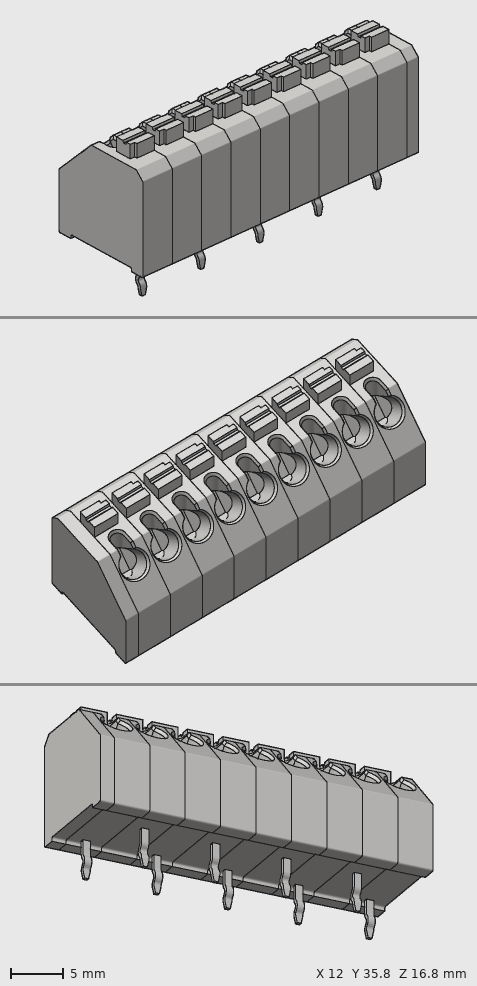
import cadquery as cq
import math

POLE_COUNT = 9
TOTAL_LENGTH = 35.8
END_PLATE_THICKNESS = 1.5
PITCH = (TOTAL_LENGTH - END_PLATE_THICKNESS) / POLE_COUNT

DEPTH = 12.0
HEIGHT = 11.6
WIRE_SLOPE = 4.58
REAR_CHAMFER = 0.95
FRONT_FOOT_LENGTH = 1.7
REAR_FOOT_LENGTH = 1.65
FOOT_HEIGHT = 0.43
EDGE_RADIUS = 0.18

CONTACT_Y = 2.0
HOLE_X = 3.1
HOLE_Z = HEIGHT - WIRE_SLOPE + HOLE_X
HOLE_RADIUS = 1.45
HOLE_DEPTH = 3.6
FUNNEL_LENGTH = 1.07
FUNNEL_FLOOR_RISE = 0.32
SLOT_WIDTH = 1.45
SLOT_END_X = 6.55
LEAD_IN = 0.18
LEAD_IN_DEPTH = 0.35

BUTTON_X = 7.12
BUTTON_DEPTH = 2.3
BUTTON_WIDTH = 2.83
BUTTON_HEIGHT = 1.6
BUTTON_STEP_DEPTH = 0.32
BUTTON_STEP_WIDTH = 0.57
GROOVE_X = 8.05
GROOVE_WIDTH = 0.5
GROOVE_DRAFT = 0.09
GROOVE_DEPTH = 0.25

FRONT_PIN_X = 4.72
REAR_PIN_X = 9.7
PIN_THICKNESS = 0.4
PIN_WIDTH = 0.8
PIN_LENGTH = 3.58
PIN_TIP_WIDTH = 0.43
PIN_TIP_LENGTH = 0.8
KINK_Z = -1.85
KINK_RADIUS = 0.6
KINK_ANGLE = math.radians(45)


def housing_blank(width):
    """Housing cross-section with rounded edges, extruded from Y = 0 to Y = width."""
    outline = [
        (0, 0),
        (DEPTH, 0),
        (DEPTH, HEIGHT - REAR_CHAMFER),
        (DEPTH - REAR_CHAMFER, HEIGHT),
        (WIRE_SLOPE, HEIGHT),
        (0, HEIGHT - WIRE_SLOPE),
    ]
    block = cq.Workplane("XZ").polyline(outline).close().extrude(-width)
    block = block.edges("|Y").fillet(EDGE_RADIUS)

    recess_length = DEPTH - FRONT_FOOT_LENGTH - REAR_FOOT_LENGTH
    recess = cq.Workplane("XY").box(recess_length, width, FOOT_HEIGHT, centered=False)
    recess = recess.edges("|Y and >Z").fillet(EDGE_RADIUS)
    return block.cut(recess.translate((FRONT_FOOT_LENGTH, 0, 0)))


def on_slope():
    """Workplane at the hole mouth: X across the pole, Y up the slope, Z out of the hole."""
    plane = cq.Plane(origin=(HOLE_X, CONTACT_Y, HOLE_Z), xDir=(0, -1, 0), normal=(-1, 0, 1))
    return cq.Workplane(plane)


def funnel_wall(angle, rise):
    """Flat wedge that narrows the deep end of the hole, turned about the hole axis."""
    base = HOLE_RADIUS
    wedge = (
        cq.Workplane("YZ")
        .moveTo(-base, -HOLE_DEPTH)
        .lineTo(-base + rise, -HOLE_DEPTH)
        .lineTo(-base, -HOLE_DEPTH + FUNNEL_LENGTH)
        .close()
        .extrude(base, both=True)
        .rotate((0, 0, 0), (0, 0, 1), angle)
    )
    return wedge.val().moved(on_slope().plane.location)


def wire_hole():
    """Cutter for the round hole with its conical lead-in and the flat-sided funnel at its end."""
    hole = on_slope().circle(HOLE_RADIUS).extrude(-HOLE_DEPTH)
    side_rise = HOLE_RADIUS - SLOT_WIDTH / 2
    for angle, rise in ((0, FUNNEL_FLOOR_RISE), (90, side_rise), (-90, side_rise)):
        hole = hole.cut(cq.Workplane(funnel_wall(angle, rise)))
    lead_in = (
        on_slope()
        .circle(HOLE_RADIUS + LEAD_IN)
        .workplane(offset=-LEAD_IN_DEPTH)
        .circle(HOLE_RADIUS)
        .loft(ruled=True)
    )
    return hole.union(lead_in)


def slot_outline(margin):
    """Slot outline at the housing top, from above the hole to the rounded end, grown by a margin."""
    length = 2 * (SLOT_END_X - HOLE_X + margin)
    outline = cq.Workplane("XY", origin=(HOLE_X, CONTACT_Y, HEIGHT))
    return outline.slot2D(length, SLOT_WIDTH + 2 * margin)


def wire_slot():
    """Cutter for the slot above the hole, with bevelled edges on the top and on the slope."""
    above_axis = (
        on_slope()
        .workplane(offset=-HOLE_DEPTH)
        .center(0, HEIGHT / 2)
        .rect(PITCH, HEIGHT)
        .extrude(2 * HEIGHT)
    )
    slot = slot_outline(0).extrude(-HEIGHT).intersect(above_axis)

    taper = math.degrees(math.atan(LEAD_IN / LEAD_IN_DEPTH))
    top_bevel = slot_outline(LEAD_IN).extrude(-LEAD_IN_DEPTH, taper=taper)

    half_width = SLOT_WIDTH / 2
    slope_run = (WIRE_SLOPE - HOLE_X) * math.sqrt(2)
    slope_bevel = (
        cq.Workplane("XZ")
        .moveTo(-half_width - LEAD_IN, 0)
        .lineTo(half_width + LEAD_IN, 0)
        .lineTo(half_width, -LEAD_IN_DEPTH)
        .lineTo(-half_width, -LEAD_IN_DEPTH)
        .close()
        .extrude(-slope_run)
    )
    slope_bevel = cq.Workplane(slope_bevel.val().moved(on_slope().plane.location))
    return slot.union(top_bevel).union(slope_bevel)


def button():
    """Push button with a screwdriver groove and a stepped rear corner."""
    front_y = PITCH - BUTTON_WIDTH
    top_z = HEIGHT + BUTTON_HEIGHT
    body = cq.Workplane("XY").box(BUTTON_DEPTH, BUTTON_WIDTH, BUTTON_HEIGHT, centered=False)
    body = body.translate((BUTTON_X, front_y, HEIGHT))
    groove_outline = [
        (GROOVE_X, top_z),
        (GROOVE_X + GROOVE_DRAFT, top_z - GROOVE_DEPTH),
        (GROOVE_X + GROOVE_WIDTH - GROOVE_DRAFT, top_z - GROOVE_DEPTH),
        (GROOVE_X + GROOVE_WIDTH, top_z),
    ]
    groove = cq.Workplane("XZ").polyline(groove_outline).close().extrude(-PITCH)
    step = cq.Workplane("XY").box(BUTTON_STEP_DEPTH, BUTTON_STEP_WIDTH, BUTTON_HEIGHT, centered=False)
    step = step.translate((BUTTON_X + BUTTON_DEPTH - BUTTON_STEP_DEPTH, front_y, HEIGHT))
    return body.cut(groove).cut(step)


def kink_side(offset):
    """Points down one side of the kink, offset from the centre line towards the bulge."""
    bulge = 2 * KINK_RADIUS * (1 - math.cos(KINK_ANGLE))
    half_length = 2 * KINK_RADIUS * math.sin(KINK_ANGLE)
    outer = KINK_RADIUS - offset

    def on_outer(angle, end):
        x = KINK_RADIUS - outer * math.cos(angle)
        return (x, KINK_Z + end * (half_length - outer * math.sin(angle)))

    return [
        on_outer(0, 1),
        on_outer(KINK_ANGLE / 2, 1),
        on_outer(KINK_ANGLE, 1),
        (bulge + offset, KINK_Z),
        on_outer(KINK_ANGLE, -1),
        on_outer(KINK_ANGLE / 2, -1),
        on_outer(0, -1),
    ]


def pin(x, bulge_direction):
    """Kinked pin with a tapered tip, bulging towards +X or -X."""
    half = PIN_THICKNESS / 2
    near = kink_side(-half)
    far = kink_side(half)
    far.reverse()
    profile = (
        cq.Workplane("XZ")
        .moveTo(-half, FOOT_HEIGHT)
        .lineTo(*near[0])
        .threePointArc(near[1], near[2])
        .threePointArc(near[3], near[4])
        .threePointArc(near[5], near[6])
        .lineTo(-half, -PIN_LENGTH)
        .lineTo(half, -PIN_LENGTH)
        .lineTo(*far[0])
        .threePointArc(far[1], far[2])
        .threePointArc(far[3], far[4])
        .threePointArc(far[5], far[6])
        .lineTo(half, FOOT_HEIGHT)
        .close()
        .extrude(PIN_WIDTH / 2, both=True)
    )
    if bulge_direction < 0:
        profile = profile.mirror("YZ")
    side_outline = [
        (-PIN_WIDTH / 2, FOOT_HEIGHT),
        (-PIN_WIDTH / 2, PIN_TIP_LENGTH - PIN_LENGTH),
        (-PIN_TIP_WIDTH / 2, -PIN_LENGTH),
        (PIN_TIP_WIDTH / 2, -PIN_LENGTH),
        (PIN_WIDTH / 2, PIN_TIP_LENGTH - PIN_LENGTH),
        (PIN_WIDTH / 2, FOOT_HEIGHT),
    ]
    envelope = cq.Workplane("YZ").polyline(side_outline).close().extrude(DEPTH, both=True)
    return profile.intersect(envelope).translate((x, CONTACT_Y, 0))


def pole(has_rear_pin):
    """One pole: housing with its wire entry, push button and solder pin."""
    body = housing_blank(PITCH).cut(wire_hole()).cut(wire_slot()).union(button())
    if has_rear_pin:
        return body.union(pin(REAR_PIN_X, -1))
    return body.union(pin(FRONT_PIN_X, 1))


poles = []
for index in range(POLE_COUNT):
    placed = pole(index % 2 == 0).translate((0, index * PITCH, 0))
    poles.append(placed.val())

end_plate = housing_blank(END_PLATE_THICKNESS).translate((0, POLE_COUNT * PITCH, 0))

result = cq.Compound.makeCompound([*poles, end_plate.val()])